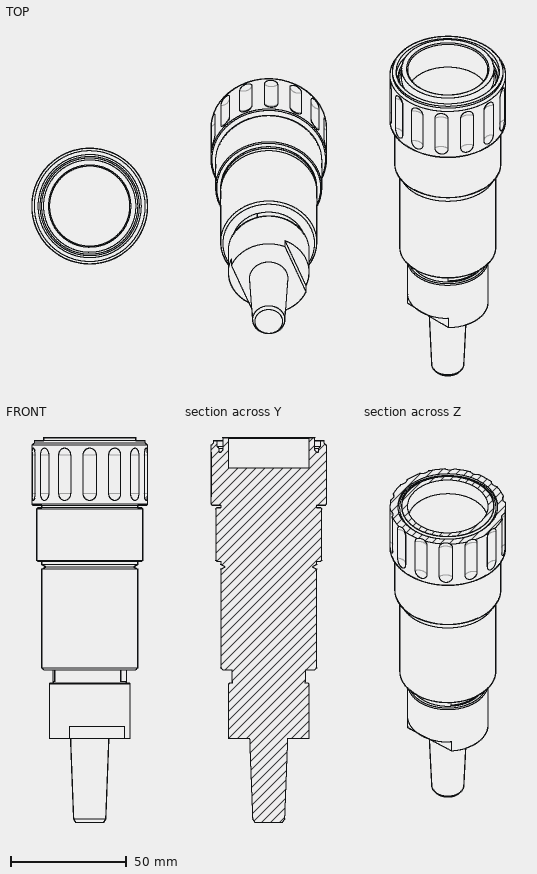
import cadquery as cq
import math

TOTAL_HEIGHT = 166.4
TAIL_CHAMFER_TOP = 1.5
BASE_BOTTOM = 36.3
BASE_TOP = 60.4
BODY_BOTTOM = 65.9
BODY_TOP = 109.5
SLEEVE_BOTTOM = 112.8
SLEEVE_TOP = 136.1
COLLAR_BOTTOM = 137.1
COLLAR_TOP = 165.0

COLLAR_DIAMETER = 50.1
TAIL_END_RADIUS = 6.0
TAIL_LOWER_RADIUS = 7.0
TAIL_UPPER_RADIUS = 8.3
BASE_RADIUS = 17.5
NECK_RADIUS = 15.8
BODY_RADIUS = 20.8
SLEEVE_RADIUS = 23.0
COLLAR_RADIUS = COLLAR_DIAMETER / 2
COLLAR_LIP_RADIUS = 24.0
SOCKET_RADIUS = 20.0

EDGE_CHAMFER = 0.5
BODY_CHAMFER = 1.0

GROOVE_DEPTH = 1.8
GROOVE_HALF_HEIGHT = 1.0

LIP_HEIGHT = 1.0
LIP_CHAMFER_HEIGHT = 1.0

GAP_MOUTH_RADIUS = 22.3
GAP_LOWER_RADIUS = 21.5
GAP_MOUTH_DEPTH = 2.5
GAP_DEPTH = 5.0
GAP_ROOT_CHAMFER = 0.8

BORE_RADIUS = 17.3
BORE_DEPTH = 13.1
BORE_CHAMFER = 0.5

FLUTE_COUNT = 14
FLUTE_RADIUS = 4.0
FLUTE_DEPTH = 1.41
FLUTE_LOWER_CENTER = 142.3
FLUTE_UPPER_CENTER = 158.7

FLAT_SPACING = 25.0
FLAT_HEIGHT = 5.2
FLAT_ANGLE = 14.4

PAD_RAISE = 0.2
PAD_BOTTOM = 61.0
PAD_HALF_SPAN = 25.0
PAD_ANGLE = 173.0


def revolve_outline(points):
    """Turn an (r, z) outline once around the Z axis."""
    return cq.Workplane("XZ").polyline(points).close().revolve(360, (0, 0, 0), (0, 1, 0))


def make_turned_body():
    groove_top = BODY_TOP + 2 * GROOVE_HALF_HEIGHT
    lip_bottom = COLLAR_TOP - LIP_HEIGHT
    cone_top = COLLAR_TOP - GAP_MOUTH_DEPTH
    gap_floor = COLLAR_TOP - GAP_DEPTH
    return revolve_outline([
        (0, 0),
        (TAIL_END_RADIUS, 0),
        (TAIL_LOWER_RADIUS, TAIL_CHAMFER_TOP),
        (TAIL_UPPER_RADIUS, BASE_BOTTOM),
        (BASE_RADIUS, BASE_BOTTOM),
        (BASE_RADIUS, BASE_TOP - EDGE_CHAMFER),
        (BASE_RADIUS - EDGE_CHAMFER, BASE_TOP),
        (NECK_RADIUS, BASE_TOP),
        (NECK_RADIUS, BODY_BOTTOM),
        (BODY_RADIUS - BODY_CHAMFER, BODY_BOTTOM),
        (BODY_RADIUS, BODY_BOTTOM + BODY_CHAMFER),
        (BODY_RADIUS, BODY_TOP),
        (BODY_RADIUS - GROOVE_DEPTH, BODY_TOP + GROOVE_HALF_HEIGHT),
        (BODY_RADIUS, groove_top),
        (BODY_RADIUS, SLEEVE_BOTTOM),
        (SLEEVE_RADIUS - EDGE_CHAMFER, SLEEVE_BOTTOM),
        (SLEEVE_RADIUS, SLEEVE_BOTTOM + EDGE_CHAMFER),
        (SLEEVE_RADIUS, SLEEVE_TOP - EDGE_CHAMFER),
        (SLEEVE_RADIUS - EDGE_CHAMFER, SLEEVE_TOP),
        (BODY_RADIUS, SLEEVE_TOP),
        (BODY_RADIUS, COLLAR_BOTTOM),
        (COLLAR_RADIUS - EDGE_CHAMFER, COLLAR_BOTTOM),
        (COLLAR_RADIUS, COLLAR_BOTTOM + EDGE_CHAMFER),
        (COLLAR_RADIUS, lip_bottom - LIP_CHAMFER_HEIGHT),
        (COLLAR_LIP_RADIUS, lip_bottom),
        (COLLAR_LIP_RADIUS, COLLAR_TOP),
        (GAP_MOUTH_RADIUS, COLLAR_TOP),
        (GAP_MOUTH_RADIUS, cone_top),
        (GAP_LOWER_RADIUS, cone_top - (GAP_MOUTH_RADIUS - GAP_LOWER_RADIUS)),
        (GAP_LOWER_RADIUS, gap_floor),
        (SOCKET_RADIUS + GAP_ROOT_CHAMFER, gap_floor),
        (SOCKET_RADIUS, gap_floor + GAP_ROOT_CHAMFER),
        (SOCKET_RADIUS, TOTAL_HEIGHT),
        (BORE_RADIUS + BORE_CHAMFER, TOTAL_HEIGHT),
        (BORE_RADIUS, TOTAL_HEIGHT - BORE_CHAMFER),
        (BORE_RADIUS, TOTAL_HEIGHT - BORE_DEPTH),
        (0, TOTAL_HEIGHT - BORE_DEPTH),
    ])


def make_flute_cutter():
    """Round-ended bar that cuts the flute on the -Y side of the collar."""
    center_y = -(COLLAR_RADIUS - FLUTE_DEPTH + FLUTE_RADIUS)
    length = FLUTE_UPPER_CENTER - FLUTE_LOWER_CENTER
    bar = cq.Workplane("XY", origin=(0, center_y, FLUTE_LOWER_CENTER)).circle(FLUTE_RADIUS).extrude(length)
    for end_z in (FLUTE_LOWER_CENTER, FLUTE_UPPER_CENTER):
        bar = bar.union(cq.Workplane("XY", origin=(0, center_y, end_z)).sphere(FLUTE_RADIUS))
    return bar


def cut_flutes(part):
    cutter = make_flute_cutter()
    for index in range(FLUTE_COUNT):
        part = part.cut(cutter.rotate((0, 0, 0), (0, 0, 1), index * 360 / FLUTE_COUNT))
    return part


def cut_wrench_flats(part):
    stock_width = 3 * BASE_RADIUS
    flats = (
        cq.Workplane("XY", origin=(0, 0, BASE_BOTTOM))
        .rect(stock_width, stock_width)
        .rect(stock_width, FLAT_SPACING)
        .extrude(FLAT_HEIGHT)
        .rotate((0, 0, 0), (0, 0, 1), FLAT_ANGLE)
    )
    return part.cut(flats)


def add_neck_pads(part):
    pad_radius = NECK_RADIUS + PAD_RAISE
    half_span = math.radians(PAD_HALF_SPAN)
    end_x = pad_radius * math.cos(half_span)
    end_y = pad_radius * math.sin(half_span)
    pad = (
        cq.Workplane("XY", origin=(0, 0, PAD_BOTTOM))
        .lineTo(end_x, -end_y)
        .threePointArc((pad_radius, 0), (end_x, end_y))
        .close()
        .extrude(BODY_BOTTOM - PAD_BOTTOM)
    )
    for side_angle in (PAD_ANGLE, PAD_ANGLE + 180):
        part = part.union(pad.rotate((0, 0, 0), (0, 0, 1), side_angle))
    return part


connector = make_turned_body()
connector = cut_flutes(connector)
connector = cut_wrench_flats(connector)
result = add_neck_pads(connector)